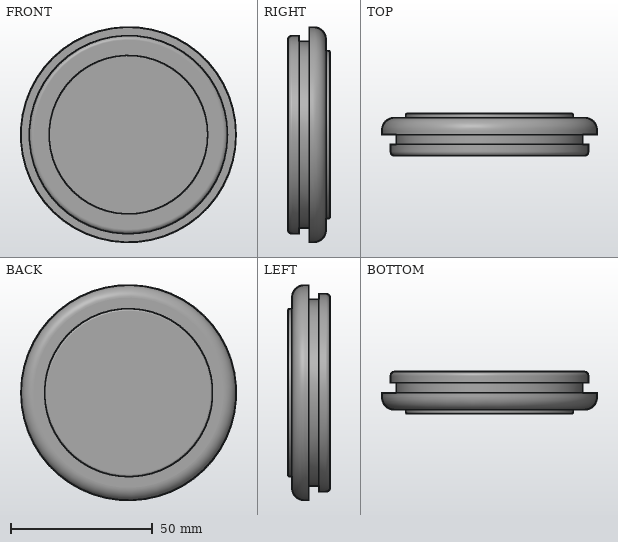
import cadquery as cq

lip_radius = 34.95
lip_length = 4.0
lip_fillet = 1.5

groove_radius = 33.0
groove_length = 3.5

flange_radius = 38.0
flange_length = 6.0
flange_fillet = 4.5

pad_radius = 29.65
pad_height = 1.45
pad_fillet = 0.75

bore_radius = 28.0
bore_depth = 12.55

total_length = lip_length + groove_length + flange_length + pad_height
open_end = -total_length / 2
groove_start = open_end + lip_length
flange_start = groove_start + groove_length
pad_start = flange_start + flange_length


def disc(start, radius, length):
    """Disc about the Y axis, from start towards +Y."""
    return cq.Workplane("XZ", origin=(0, start, 0)).circle(radius).extrude(-length)


lip = disc(open_end, lip_radius, lip_length).faces("<Y").edges().fillet(lip_fillet)
groove = disc(groove_start, groove_radius, groove_length)
flange = disc(flange_start, flange_radius, flange_length).faces(">Y").edges().fillet(flange_fillet)
pad = disc(pad_start, pad_radius, pad_height).faces(">Y").edges().fillet(pad_fillet)

bore = disc(open_end, bore_radius, bore_depth)

result = lip.union(groove).union(flange).union(pad).cut(bore)